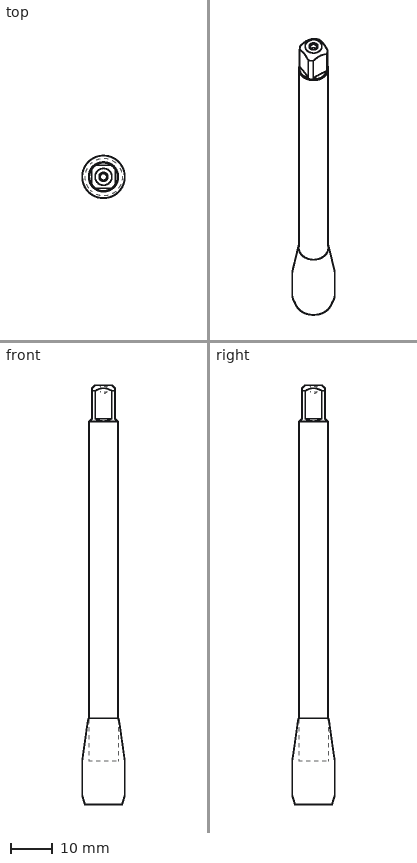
import cadquery as cq

total_length = 100.0

sleeve_diameter = 10.2
sleeve_foot_diameter = 8.9
sleeve_foot_height = 2.2
taper_start = 10.5
taper_end_diameter = 7.5
sleeve_top = 20.6
sleeve_rim_diameter = 7.1
sleeve_rim_height = 0.6

shaft_diameter = 7.0
shaft_bottom = taper_start
shoulder_height = 91.2

drive_diameter = 6.7
drive_across_flats = 5.5
shoulder_chamfer = (shaft_diameter - drive_diameter) / 2
tip_diameter = 4.0
tip_chamfer = (drive_diameter - tip_diameter) / 2
flat_depth = (drive_diameter - drive_across_flats) / 2
flat_bottom = 92.0
flat_count = 4

centre_hole_diameter = 1.6
centre_mouth_diameter = 2.1
centre_mouth_depth = (centre_mouth_diameter - centre_hole_diameter) / 2
centre_hole_depth = 1.6
centre_cone_depth = 0.5


def revolve_profile(points):
    """Turn a closed (radius, height) outline about the Z axis."""
    return cq.Workplane("XZ").polyline(points).close().revolve(360, (0, 0), (0, 1))


def make_sleeve():
    """Tapered sleeve with a blind socket that holds the shaft."""
    body = revolve_profile([
        (0, 0),
        (sleeve_foot_diameter / 2, 0),
        (sleeve_diameter / 2, sleeve_foot_height),
        (sleeve_diameter / 2, taper_start),
        (taper_end_diameter / 2, sleeve_top - sleeve_rim_height),
        (sleeve_rim_diameter / 2, sleeve_top),
        (0, sleeve_top),
    ])
    socket = (
        cq.Workplane("XY", origin=(0, 0, shaft_bottom))
        .circle(shaft_diameter / 2)
        .extrude(sleeve_top - shaft_bottom)
    )
    return body.cut(socket)


def make_flat_cutter():
    """Block that cuts one drive flat, with a 45 degree run-out at its lower end."""
    flat_offset = drive_across_flats / 2
    outer_offset = drive_diameter / 2
    return (
        cq.Workplane("XZ")
        .polyline([
            (flat_offset, flat_bottom),
            (outer_offset, flat_bottom - flat_depth),
            (outer_offset, total_length),
            (flat_offset, total_length),
        ])
        .close()
        .extrude(drive_diameter / 2, both=True)
    )


def make_centre_hole():
    """Countersunk centre hole with a conical bottom."""
    wall_end = total_length - centre_hole_depth
    return revolve_profile([
        (0, total_length),
        (centre_mouth_diameter / 2, total_length),
        (centre_hole_diameter / 2, total_length - centre_mouth_depth),
        (centre_hole_diameter / 2, wall_end),
        (0, wall_end - centre_cone_depth),
    ])


def make_shaft():
    """Round shaft with a square drive end."""
    shaft = revolve_profile([
        (0, shaft_bottom),
        (shaft_diameter / 2, shaft_bottom),
        (shaft_diameter / 2, shoulder_height),
        (drive_diameter / 2, shoulder_height + shoulder_chamfer),
        (drive_diameter / 2, total_length - tip_chamfer),
        (tip_diameter / 2, total_length),
        (0, total_length),
    ])
    flat_cutter = make_flat_cutter()
    for index in range(flat_count):
        angle = index * 360 / flat_count
        shaft = shaft.cut(flat_cutter.rotate((0, 0, 0), (0, 0, 1), angle))
    return shaft.cut(make_centre_hole())


sleeve = make_sleeve()
shaft = make_shaft()

result = cq.Compound.makeCompound([sleeve.val(), shaft.val()])